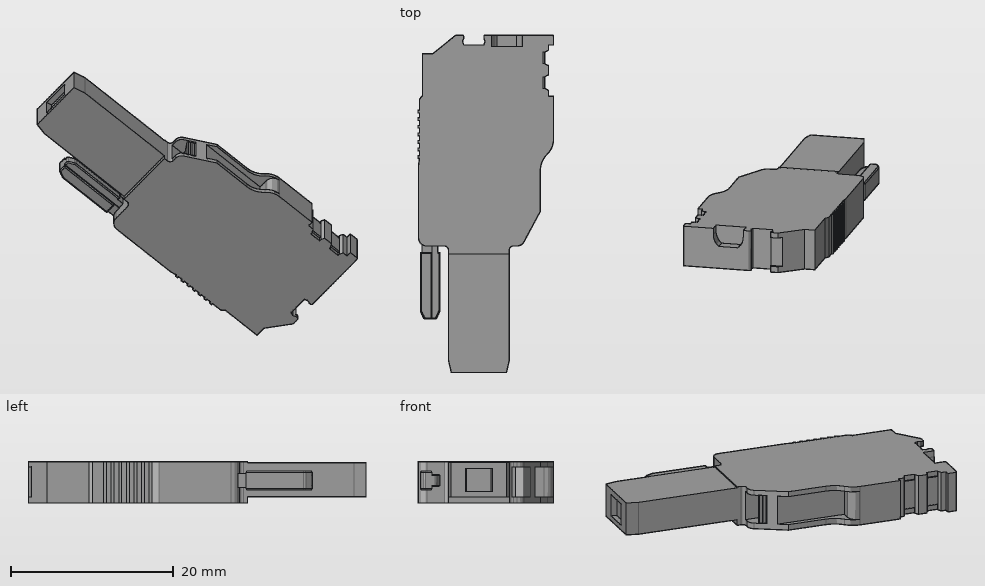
import math

import cadquery as cq

width = 16.69
length = 41.5
thickness = 5.1

top_cover = 0.65
bottom_cover = 0.75
middle_bottom = bottom_cover
middle_top = thickness - top_cover

plug_left = 3.75
plug_right = 11.25
plug_shoulder_y = 14.55
plug_top_step = 0.12
plug_top = thickness - plug_top_step
plug_bottom = bottom_cover
plug_taper_length = 1.5
plug_taper_inset = 0.35
socket_mouth_width = 3.3
socket_floor_width = 3.0
socket_height = 2.8
socket_center_x = (plug_left + plug_right) / 2
socket_center_z = 2.82
socket_depth = 0.7

front_y = 15.55
lower_left_x = 0.06
front_corner_radius = 1.05
plug_fillet_radius = 0.5
slope_foot_x = 12.78
slope_foot_radius = 1.0
waist_x = 15.06
waist_bottom_y = 19.8
waist_top_y = 26.0
waist_radius = 3.0
bulge_start_y = waist_top_y + width - waist_x
bulge_radius = 2.5

grip_base_x = 0.19
ridge_count = 7
ridge_pitch = 0.93
ridge_width = 0.36
first_ridge_y = 26.5
grip_bottom_y = 25.45
grip_top_y = 33.6
step_top_y = 34.05
upper_left_x = 0.55

shoulder_y = 39.22
chamfer_foot_x = 1.85
chamfer_top_x = 4.66
rear_land_recess = 0.4
keyhole_left = 5.65
keyhole_right = 8.1
keyhole_undercut = 0.15
keyhole_floor_y = 40.3
keyhole_widest_y = 40.72
keyhole_lip_y = 41.1
rear_corner_radius = 0.2
funnel_center_x = 10.95
funnel_width = 3.8
funnel_floor_width = 2.4
funnel_wall_depth = 0.8
funnel_length = 1.44

rack_top_y = 40.25
rack_bottom_y = 33.98
rack_x = 16.07
bay_x = 15.62
bay_count = 2
bay_pitch = 3.03
bay_height = 1.9
bay_slant = 0.24
first_bay_y = 34.7
bay_cover_extra = 0.22

wedge_left = 11.57
wedge_flat_right = 12.0
wedge_deep_y = 17.3
wedge_corner_x = 13.05
wedge_corner_y = 16.65
wedge_step_count = 3
wedge_tread = 0.25
wedge_rise = 0.4
finger_left = 14.43
finger_flat_right = 15.5
finger_top_y = 27.45

latch_z = 2.78
latch_left = 0.3
latch_step_x = 1.75
latch_right = 2.72
latch_top_y = 14.77
latch_tip_y = 6.58
latch_taper_length = 0.95
latch_taper_inset = 0.45
latch_taper_radius = 0.6
latch_tip_radius = 0.25
latch_wide_height = 2.3
latch_narrow_height = 1.5
latch_edge_chamfer = 0.15
stem_left = 0.48
stem_right = 2.45
stem_height = 1.75
stem_latch_overlap = 0.3
stem_housing_overlap = 1.0


def rounded_outline(corners):
    """Closed outline from (x, y, radius) corners; a zero radius keeps the corner sharp."""
    path = None
    for i, (x, y, radius) in enumerate(corners):
        here = cq.Vector(x, y)
        to_previous = (cq.Vector(*corners[i - 1][:2]) - here).normalized()
        to_next = (cq.Vector(*corners[(i + 1) % len(corners)][:2]) - here).normalized()
        half_angle = to_previous.getAngle(to_next) / 2
        trim = radius / math.tan(half_angle)
        start = here + to_previous * trim
        path = path.lineTo(start.x, start.y) if path else cq.Workplane("XY").moveTo(start.x, start.y)
        if radius:
            bisector = (to_previous + to_next).normalized()
            middle = here + bisector * (radius / math.sin(half_angle) - radius)
            end = here + to_next * trim
            path = path.threePointArc((middle.x, middle.y), (end.x, end.y))
    return path.close()


def sharp(*points):
    return [(x, y, 0) for x, y in points]


def box(x_range, y_range, z_range):
    size = [high - low for low, high in (x_range, y_range, z_range)]
    return cq.Workplane("XY").box(*size, centered=False).translate((x_range[0], y_range[0], z_range[0]))


def between_covers(outline):
    return outline.extrude(middle_top - middle_bottom).translate((0, 0, middle_bottom))


def bay_bottom(index):
    return first_bay_y + index * bay_pitch


def right_notches():
    """Corners of the notched part of the right side, from front to rear."""
    points = [(width, rack_bottom_y), (rack_x, rack_bottom_y)]
    for i in range(bay_count):
        low = bay_bottom(i)
        high = low + bay_height
        points += [(rack_x, low), (bay_x, low + bay_slant), (bay_x, high - bay_slant), (rack_x, high)]
    return sharp(*points, (rack_x, rack_top_y), (width, rack_top_y))


def grip_ridges():
    """Corners of the ridges on the left side, from rear to front."""
    points = []
    for i in reversed(range(ridge_count)):
        low = first_ridge_y + i * ridge_pitch - ridge_width / 2
        high = low + ridge_width
        points += [(grip_base_x, high), (0, high), (0, low), (grip_base_x, low)]
    return sharp(*points)


def housing():
    keyhole = sharp(
        (keyhole_right, keyhole_lip_y),
        (keyhole_right + keyhole_undercut, keyhole_widest_y),
        (keyhole_right, keyhole_floor_y),
        (keyhole_left, keyhole_floor_y),
        (keyhole_left - keyhole_undercut, keyhole_widest_y),
        (keyhole_left, keyhole_lip_y),
    )
    corners = [
        (lower_left_x, front_y, front_corner_radius),
        (plug_left, front_y, plug_fillet_radius),
        (plug_left, plug_shoulder_y, 0),
        (plug_right, plug_shoulder_y, 0),
        (plug_right, front_y, plug_fillet_radius),
        (slope_foot_x, front_y, slope_foot_radius),
        (waist_x, waist_bottom_y, 0),
        (waist_x, waist_top_y, waist_radius),
        (width, bulge_start_y, bulge_radius),
        *right_notches(),
        (width, length, rear_corner_radius),
        (keyhole_right, length, rear_corner_radius),
        *keyhole,
        (keyhole_left, length, rear_corner_radius),
        *sharp((chamfer_top_x, length), (chamfer_foot_x, shoulder_y), (upper_left_x, shoulder_y)),
        *sharp((upper_left_x, step_top_y), (grip_base_x, grip_top_y)),
        *grip_ridges(),
        (lower_left_x, grip_bottom_y, 0),
    ]
    return rounded_outline(corners).extrude(thickness)


def socket():
    """Pocket in the plug tip whose sides close in slightly towards the floor."""
    half_mouth = socket_mouth_width / 2
    half_floor = socket_floor_width / 2
    outline = sharp(
        (socket_center_x - half_mouth, 0),
        (socket_center_x + half_mouth, 0),
        (socket_center_x + half_floor, socket_depth),
        (socket_center_x - half_floor, socket_depth),
    )
    pocket = rounded_outline(outline).extrude(socket_height)
    return pocket.translate((0, 0, socket_center_z - socket_height / 2))


def plug():
    outline = sharp(
        (plug_left, plug_shoulder_y),
        (plug_left, plug_taper_length),
        (plug_left + plug_taper_inset, 0),
        (plug_right - plug_taper_inset, 0),
        (plug_right, plug_taper_length),
        (plug_right, plug_shoulder_y),
    )
    body = rounded_outline(outline).extrude(plug_top - plug_bottom).translate((0, 0, plug_bottom))
    return body.cut(socket())


def latch_bar(right, height):
    """Latch with a tapered tip, trimmed at the given right side and centred on the latch height."""
    taper_y = latch_tip_y + latch_taper_length
    outline = [
        (latch_left, latch_top_y, 0),
        (latch_left, taper_y, latch_taper_radius),
        (latch_left + latch_taper_inset, latch_tip_y, latch_tip_radius),
        (latch_right - latch_taper_inset, latch_tip_y, latch_tip_radius),
        (latch_right, taper_y, latch_taper_radius),
        (latch_right, latch_top_y, 0),
    ]
    z_range = (latch_z - height / 2, latch_z + height / 2)
    bar = rounded_outline(outline).extrude(height).translate((0, 0, z_range[0]))
    bar = bar.intersect(box((latch_left, right), (latch_tip_y, latch_top_y), z_range))
    return bar.faces("<Z or >Z").edges().chamfer(latch_edge_chamfer)


def latch_stem(right, height):
    """Bar joining the latch to the housing; it reaches into both."""
    return box(
        (stem_left, right),
        (latch_top_y - stem_latch_overlap, front_y + stem_housing_overlap),
        (latch_z - height / 2, latch_z + height / 2),
    )


def latch():
    wide = latch_bar(latch_step_x, latch_wide_height)
    narrow = latch_bar(latch_right, latch_narrow_height)
    wide_stem = latch_stem(latch_step_x, stem_height)
    narrow_stem = latch_stem(stem_right, latch_narrow_height)
    return wide.union(narrow).union(wide_stem).union(narrow_stem)


def funnel():
    """Trough with upright upper walls, rounded lower sides and a flat floor, open to the top and rear."""
    radius = funnel_width / 2
    half_floor = funnel_floor_width / 2
    wall_bottom_z = thickness - funnel_wall_depth
    floor_z = wall_bottom_z - math.sqrt(radius**2 - half_floor**2)
    return (
        cq.Workplane("XZ", origin=(funnel_center_x, length - funnel_length, 0))
        .moveTo(-radius, thickness)
        .lineTo(-radius, wall_bottom_z)
        .radiusArc((-half_floor, floor_z), -radius)
        .lineTo(half_floor, floor_z)
        .radiusArc((radius, wall_bottom_z), -radius)
        .lineTo(radius, thickness)
        .close()
        .extrude(-funnel_length)
    )


def rear_land_slot():
    """Lowers the land beside the keyhole between the covers."""
    return box(
        (chamfer_foot_x, keyhole_left),
        (length - rear_land_recess, length),
        (middle_bottom, middle_top),
    )


def wedge_opening():
    """Recess with a slanted floor that climbs to the sloped side in small steps."""
    floor = [(wedge_left, wedge_deep_y), (wedge_flat_right, wedge_deep_y)]
    x, y = wedge_corner_x, wedge_corner_y
    floor.append((x, y))
    for _ in range(wedge_step_count):
        x += wedge_tread
        floor += [(x, y), (x, y + wedge_rise)]
        y += wedge_rise
    outline = sharp((wedge_left, plug_shoulder_y), *floor[:-1], (x, plug_shoulder_y))
    return between_covers(rounded_outline(outline))


def finger_opening():
    """Recess behind the waist, ending in a flat with a rounded outer corner."""
    corner_radius = width - finger_flat_right
    outline = (
        cq.Workplane("XY")
        .moveTo(finger_left, front_y)
        .lineTo(finger_left, finger_top_y)
        .lineTo(finger_flat_right, finger_top_y)
        .radiusArc((width, finger_top_y + corner_radius), -corner_radius)
        .lineTo(width, front_y)
        .close()
    )
    return between_covers(outline)


def cover_bays():
    """Deepens the right-hand bays in both covers."""
    cuts = cq.Workplane("XY")
    for i in range(bay_count):
        low = bay_bottom(i) + bay_slant
        high = low + bay_height - 2 * bay_slant
        for z_range in ((0, middle_bottom), (middle_top, thickness)):
            cuts = cuts.union(box((bay_x - bay_cover_extra, bay_x), (low, high), z_range))
    return cuts


body = housing().cut(funnel()).cut(rear_land_slot()).cut(wedge_opening())
body = body.cut(finger_opening()).cut(cover_bays())
result = body.union(plug()).union(latch())